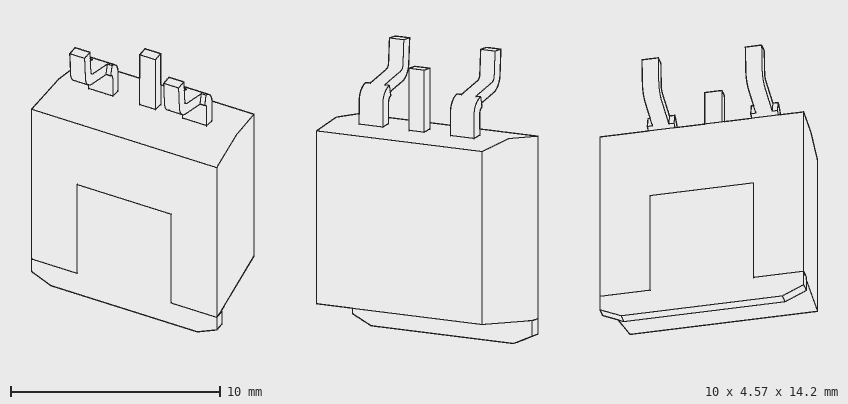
import cadquery as cq
import math

TOTAL_HEIGHT = 14.2

HOUSING_WIDTH = 10.03
HOUSING_DEPTH = 4.57
SIDE_INSET = 0.4
FRONT_TOP_Z = 10.17
RIDGE_Z = 10.47
BACK_TOP_Z = 10.21
BACK_BOTTOM_Z = 1.75

METAL_THICKNESS = 0.55
LEAD_FRONT_Y = 2.4
LEAD_BACK_Y = LEAD_FRONT_Y + METAL_THICKNESS
SOCKET_DEPTH = 1.42
LEAD_BOTTOM_Z = RIDGE_Z - SOCKET_DEPTH

TAB_FOOT_HEIGHT = 1.24
TAB_TOP_Z = 6.53
TAB_STEM_WIDTH = 5.08
TAB_CORNER_WIDTH = 1.05
TAB_CORNER_HEIGHT = 0.48

CENTER_LEAD_WIDTH = 0.85
CENTER_LEAD_TOP_Z = 13.43

LEAD_OFFSET = 2.54
LEAD_ROOT_WIDTH = 1.32
LEAD_ARM_WIDTH = 0.81
BEND_START_Z = 11.52
INNER_RADIUS = 0.28
OUTER_RADIUS = INNER_RADIUS + METAL_THICKNESS
ARM_ANGLE = 15.0
ARM_LENGTH = 1.53
TIP_ANGLE = 86.0


def extrude_across(outline, width, center_x=0):
    """Extrude a closed YZ outline along X, centred on center_x."""
    return outline.extrude(width / 2, both=True).translate((center_x, 0, 0))


def make_tab():
    """T-shaped plate with cut corners on its wide foot."""
    half_foot = HOUSING_WIDTH / 2
    half_stem = TAB_STEM_WIDTH / 2
    half_end = half_foot - TAB_CORNER_WIDTH
    half_outline = [
        (0, 0),
        (half_end, 0),
        (half_foot, TAB_CORNER_HEIGHT),
        (half_foot, TAB_FOOT_HEIGHT),
        (half_stem, TAB_FOOT_HEIGHT),
        (half_stem, TAB_TOP_Z),
        (0, TAB_TOP_Z),
    ]
    return (
        cq.Workplane("XZ")
        .polyline(half_outline)
        .mirrorY()
        .extrude(-METAL_THICKNESS)
    )


def make_center_lead():
    """Straight rectangular lead standing on the centre plane."""
    return cq.Workplane("XY").box(
        CENTER_LEAD_WIDTH, METAL_THICKNESS, CENTER_LEAD_TOP_Z - LEAD_BOTTOM_Z,
        centered=(True, False, False),
    ).translate((0, LEAD_FRONT_Y, LEAD_BOTTOM_Z))


def along(start, angle, distance):
    """Move a (Y, Z) point by a distance; the angle rises from the -Y direction."""
    y, z = start
    turn = math.radians(angle)
    return (y - distance * math.cos(turn), z + distance * math.sin(turn))


def make_outer_lead(center_x):
    """Wide root with a bend, followed by a narrow sloping arm and an upright tip."""
    root_center = (LEAD_FRONT_Y - INNER_RADIUS, BEND_START_Z)
    root_end_angle = ARM_ANGLE + 90
    root_middle_angle = (root_end_angle + 180) / 2
    arm_lower_start = along(root_center, root_end_angle, INNER_RADIUS)
    arm_upper_start = along(root_center, root_end_angle, OUTER_RADIUS)

    root_outline = (
        cq.Workplane("YZ")
        .moveTo(LEAD_FRONT_Y, LEAD_BOTTOM_Z)
        .lineTo(LEAD_FRONT_Y, BEND_START_Z)
        .threePointArc(along(root_center, root_middle_angle, INNER_RADIUS), arm_lower_start)
        .lineTo(*arm_upper_start)
        .threePointArc(
            along(root_center, root_middle_angle, OUTER_RADIUS), (LEAD_BACK_Y, BEND_START_Z)
        )
        .lineTo(LEAD_BACK_Y, LEAD_BOTTOM_Z)
        .close()
    )

    arm_lower_end = along(arm_lower_start, ARM_ANGLE, ARM_LENGTH)
    arm_upper_end = along(arm_upper_start, ARM_ANGLE, ARM_LENGTH)
    tip_center = along(arm_upper_end, root_end_angle, INNER_RADIUS)
    tip_end_angle = TIP_ANGLE - 90
    tip_middle_angle = (ARM_ANGLE + TIP_ANGLE) / 2 - 90
    tip_front_start = along(tip_center, tip_end_angle, OUTER_RADIUS)
    tip_back_start = along(tip_center, tip_end_angle, INNER_RADIUS)

    def tip_end(start):
        """Follow the tip direction up to the level top end."""
        rise = TOTAL_HEIGHT - start[1]
        return along(start, TIP_ANGLE, rise / math.sin(math.radians(TIP_ANGLE)))

    arm_outline = (
        cq.Workplane("YZ")
        .moveTo(*arm_lower_start)
        .lineTo(*arm_lower_end)
        .threePointArc(along(tip_center, tip_middle_angle, OUTER_RADIUS), tip_front_start)
        .lineTo(*tip_end(tip_front_start))
        .lineTo(*tip_end(tip_back_start))
        .lineTo(*tip_back_start)
        .threePointArc(along(tip_center, tip_middle_angle, INNER_RADIUS), arm_upper_end)
        .lineTo(*arm_upper_start)
        .close()
    )
    root = extrude_across(root_outline, LEAD_ROOT_WIDTH, center_x)
    arm = extrude_across(arm_outline, LEAD_ARM_WIDTH, center_x)
    return root.union(arm)


def make_housing(inserts):
    """Tapered block with a ridged top and a matching recess for every insert."""
    side_outline = cq.Workplane("YZ").polyline([
        (0, TAB_FOOT_HEIGHT),
        (0, FRONT_TOP_Z),
        (LEAD_FRONT_Y, RIDGE_Z),
        (HOUSING_DEPTH, BACK_TOP_Z),
        (HOUSING_DEPTH, BACK_BOTTOM_Z),
        (METAL_THICKNESS, TAB_FOOT_HEIGHT),
    ]).close()
    half_front = HOUSING_WIDTH / 2
    half_back = half_front - SIDE_INSET
    plan = cq.Workplane("XY").polyline([
        (-half_front, 0),
        (half_front, 0),
        (half_back, HOUSING_DEPTH),
        (-half_back, HOUSING_DEPTH),
    ]).close().extrude(TOTAL_HEIGHT)
    body = extrude_across(side_outline, HOUSING_WIDTH).intersect(plan)
    for insert in inserts:
        body = body.cut(insert)
    return body


tab = make_tab()
center_lead = make_center_lead()
outer_leads = [make_outer_lead(side * LEAD_OFFSET) for side in (-1, 1)]
housing = make_housing([tab, center_lead, *outer_leads])

result = cq.Compound.makeCompound([
    housing.val(),
    tab.val(),
    center_lead.val(),
    *[lead.val() for lead in outer_leads],
])